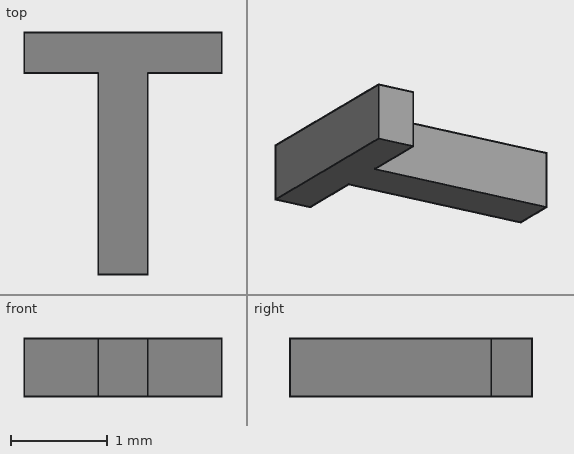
import cadquery as cq

bar_width = 2.04
total_length = 2.5
thickness = 0.6
bar_depth = 0.42
stem_width = 0.515

stem_length = total_length - bar_depth

stem = cq.Workplane("XY").box(stem_width, stem_length, thickness, centered=(True, False, False))
crossbar = (
    cq.Workplane("XY")
    .box(bar_width, bar_depth, thickness, centered=(True, False, False))
    .translate((0, stem_length, 0))
)

result = stem.union(crossbar)